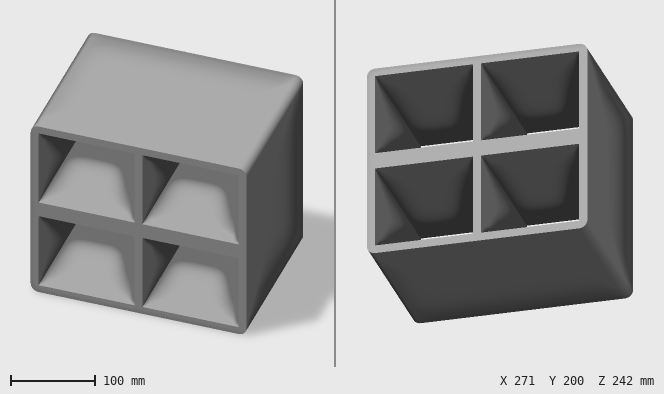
import cadquery as cq

width = 271.0
depth = 200.0
height = 242.0

wall = 10.0
divider = wall
shelf = 2 * wall
corner_radius = wall

cell_width = (width - 2 * wall - divider) / 2
cell_height = (height - 2 * wall - shelf) / 2
cell_pitch_x = cell_width + divider
cell_pitch_z = cell_height + shelf

body = cq.Workplane("XZ").rect(width, height).extrude(depth / 2, both=True)
body = body.edges("|Y").fillet(corner_radius)

compartments = (
    cq.Workplane("XZ")
    .rarray(cell_pitch_x, cell_pitch_z, 2, 2)
    .rect(cell_width, cell_height)
    .extrude(depth, both=True)
)

result = body.cut(compartments)